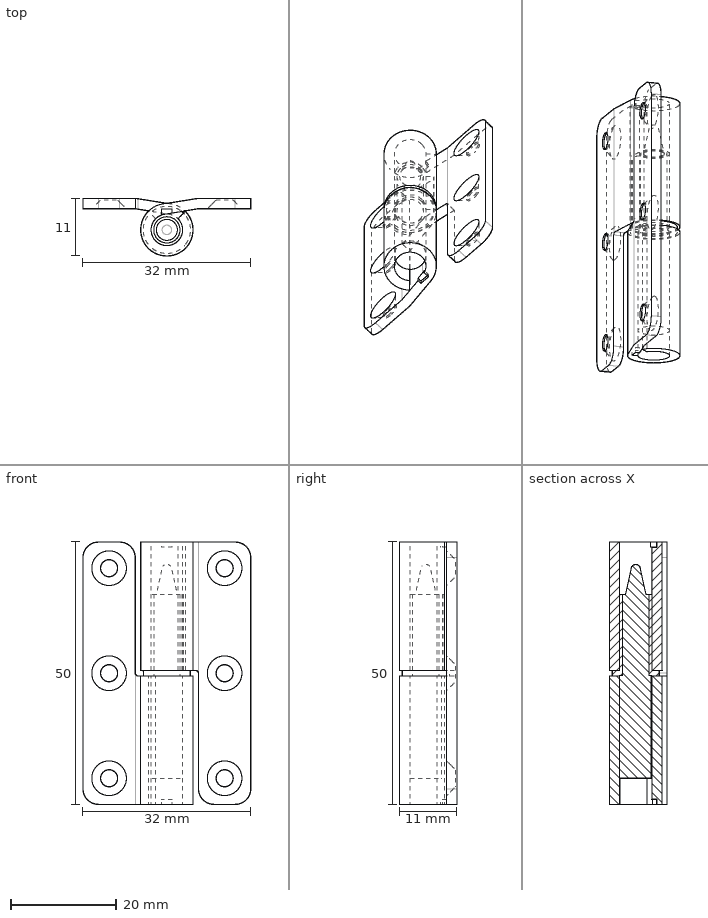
import cadquery as cq
import math

half_width = 16.0
leaf_height = 50.0
top_z = leaf_height / 2

thickness = 2.0
bore_radius = 3.0
knuckle_radius = bore_radius + thickness
roll_end_angle = math.radians(45.0)

plate_inner_x = 6.0
back_y = 6.0
front_y = back_y - thickness
corner_radius = 3.0
relief_radius = 0.5

screw_radius = 1.6
countersink_radius = 3.3
countersink_angle = 90.0
screw_x = (plate_inner_x + half_width) / 2
screw_pitch = 20.0
screw_rows = (-1, 0, 1)

notch_width = 2.0
notch_reach = 4.0
notch_depth = 1.0

flange_radius = 4.5
flange_thickness = 1.0
flange_top_z = flange_thickness / 2
sleeve_top_z = 15.0

pin_bottom_z = -20.0
journal_radius = 2.5
taper_base_radius = 2.0
dome_rim_radius = 0.9
taper_height = 5.0

front_bend_distance = math.hypot(plate_inner_x, front_y)
tangent_angle = math.atan2(front_y, plate_inner_x) + math.acos(bore_radius / front_bend_distance)
web_slope = tangent_angle - math.pi / 2
roll_middle_angle = (tangent_angle + roll_end_angle) / 2 + math.pi


def polar(radius, angle):
    return (radius * math.cos(angle), radius * math.sin(angle))


def box_between(low, high):
    size = [end - start for start, end in zip(low, high)]
    return cq.Workplane("XY").box(*size, centered=False).translate(low)


def leaf_strip():
    """Plate, sloping web and rolled knuckle, as one strip of constant thickness."""
    back_bend_x = plate_inner_x - thickness * math.tan(web_slope / 2)
    return (
        cq.Workplane("XY", origin=(0, 0, -top_z))
        .moveTo(half_width, front_y)
        .lineTo(half_width, back_y)
        .lineTo(back_bend_x, back_y)
        .lineTo(*polar(knuckle_radius, tangent_angle))
        .threePointArc(
            polar(knuckle_radius, roll_middle_angle), polar(knuckle_radius, roll_end_angle)
        )
        .lineTo(*polar(bore_radius, roll_end_angle))
        .threePointArc(polar(bore_radius, roll_middle_angle), polar(bore_radius, tangent_angle))
        .lineTo(plate_inner_x, front_y)
        .close()
        .extrude(leaf_height)
    )


def make_leaf():
    """Leaf with its plate on +X and its knuckle in the upper half."""
    relief = box_between(
        (-half_width, -half_width, -leaf_height), (plate_inner_x, half_width, flange_top_z)
    )
    relief = relief.edges("|Y and >X and >Z").fillet(relief_radius)
    leaf = leaf_strip().cut(relief)

    leaf = leaf.edges("|Y and >X").fillet(corner_radius)
    lower_inner_corner = cq.selectors.NearestToPointSelector(
        (plate_inner_x, (front_y + back_y) / 2, -top_z)
    )
    leaf = leaf.edges("|Y").edges(lower_inner_corner).fillet(corner_radius)

    leaf = (
        leaf.copyWorkplane(cq.Workplane("XZ", origin=(0, front_y, 0)))
        .pushPoints([(screw_x, row * screw_pitch) for row in screw_rows])
        .cskHole(2 * screw_radius, 2 * countersink_radius, countersink_angle)
    )

    notch = box_between(
        (-notch_width / 2, 0, top_z - notch_depth), (notch_width / 2, notch_reach, top_z)
    )
    return leaf.cut(notch)


def make_bushing():
    """Flanged bushing whose sleeve fills the inside of the roll, with a bore for the pin."""
    flange = (
        cq.Workplane("XY", origin=(0, 0, -flange_top_z))
        .circle(flange_radius)
        .extrude(flange_thickness)
    )
    web_angle_at_flange = tangent_angle - math.acos(bore_radius / flange_radius)
    sleeve = (
        cq.Workplane("XY")
        .moveTo(*polar(bore_radius, tangent_angle))
        .threePointArc(polar(bore_radius, roll_middle_angle), polar(bore_radius, roll_end_angle))
        .lineTo(*polar(flange_radius, roll_end_angle))
        .lineTo(*polar(flange_radius, web_angle_at_flange))
        .close()
        .extrude(sleeve_top_z)
    )
    pin_bore = cq.Workplane("XY").circle(journal_radius).extrude(sleeve_top_z, both=True)
    return flange.union(sleeve).cut(pin_bore)


def make_pin():
    """Turned pin, revolved from its half profile of radius and height."""
    taper_angle = math.atan2(taper_base_radius - dome_rim_radius, taper_height)
    dome_radius = dome_rim_radius / math.cos(taper_angle)
    dome_rim_z = sleeve_top_z + taper_height
    dome_center_z = dome_rim_z - dome_radius * math.sin(taper_angle)
    dome_middle_x, dome_middle_rise = polar(dome_radius, math.pi / 4)
    return (
        cq.Workplane("XZ")
        .moveTo(0, pin_bottom_z)
        .lineTo(bore_radius, pin_bottom_z)
        .lineTo(bore_radius, -flange_top_z)
        .lineTo(journal_radius, -flange_top_z)
        .lineTo(journal_radius, sleeve_top_z)
        .lineTo(taper_base_radius, sleeve_top_z)
        .lineTo(dome_rim_radius, dome_rim_z)
        .threePointArc(
            (dome_middle_x, dome_center_z + dome_middle_rise), (0, dome_center_z + dome_radius)
        )
        .close()
        .revolve(360, (0, 0), (0, 1))
    )


right_leaf = make_leaf()
left_leaf = make_leaf().rotate((0, 0, 0), (0, 1, 0), 180)
bushing = make_bushing()
pin = make_pin()

bodies = (right_leaf, left_leaf, bushing, pin)
result = cq.Compound.makeCompound([body.solids().val() for body in bodies])